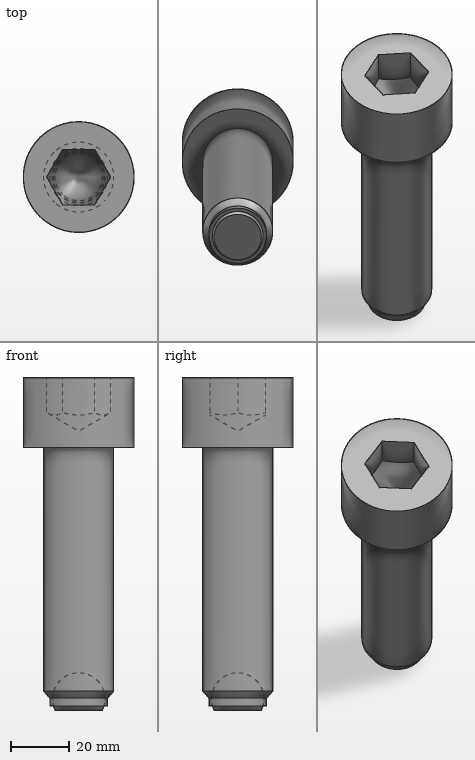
import cadquery as cq
import math

shank_diameter = 24.0
head_diameter = 38.0
head_height = shank_diameter
overall_length = 114.0

neck_diameter = 19.7
neck_length = 2.6
taper_length = 2.4

socket_across_flats = 19.0
socket_depth = 12.0
socket_cone_angle = 120.0

ball_diameter = 18.0
ball_flat_diameter = 16.2
ball_protrusion = 1.6

neck_bottom = ball_protrusion
neck_top = neck_bottom + neck_length
taper_top = neck_top + taper_length
head_top = overall_length
head_bottom = head_top - head_height

ball_radius = ball_diameter / 2
ball_center_height = math.sqrt(ball_radius**2 - (ball_flat_diameter / 2) ** 2)


def make_ball_shape():
    """Full sphere at the place of the ball, before the flat is cut."""
    return cq.Workplane("XY").sphere(ball_radius).translate((0, 0, ball_center_height))


def make_ball():
    """Ball cut flat at Z = 0."""
    flat_cutter = cq.Workplane("XY").rect(ball_diameter, ball_diameter).extrude(-ball_diameter)
    return make_ball_shape().cut(flat_cutter)


def make_screw_blank():
    """Turned outline of head, shank, taper and neck."""
    return (
        cq.Workplane("XZ")
        .moveTo(0, neck_bottom)
        .lineTo(neck_diameter / 2, neck_bottom)
        .lineTo(neck_diameter / 2, neck_top)
        .lineTo(shank_diameter / 2, taper_top)
        .lineTo(shank_diameter / 2, head_bottom)
        .lineTo(head_diameter / 2, head_bottom)
        .lineTo(head_diameter / 2, head_top)
        .lineTo(0, head_top)
        .close()
        .revolve(360, (0, 0), (0, 1))
    )


def make_socket():
    """Hexagonal prism whose floor is a cone that reaches the hexagon corners at its rim."""
    corner_radius = socket_across_flats / 2 / math.cos(math.pi / 6)
    cone_depth = corner_radius / math.tan(math.radians(socket_cone_angle / 2))
    cone_rim = head_top - socket_depth
    prism = (
        cq.Workplane("XY")
        .workplane(offset=cone_rim - cone_depth)
        .polygon(6, 2 * corner_radius)
        .extrude(socket_depth + cone_depth)
    )
    pointed_bore = (
        cq.Workplane("XZ")
        .moveTo(0, cone_rim - cone_depth)
        .lineTo(corner_radius, cone_rim)
        .lineTo(corner_radius, head_top)
        .lineTo(0, head_top)
        .close()
        .revolve(360, (0, 0), (0, 1))
    )
    return prism.intersect(pointed_bore)


ball = make_ball()
screw = make_screw_blank().cut(make_socket()).cut(make_ball_shape())

result = cq.Compound.makeCompound([screw.val(), ball.val()])